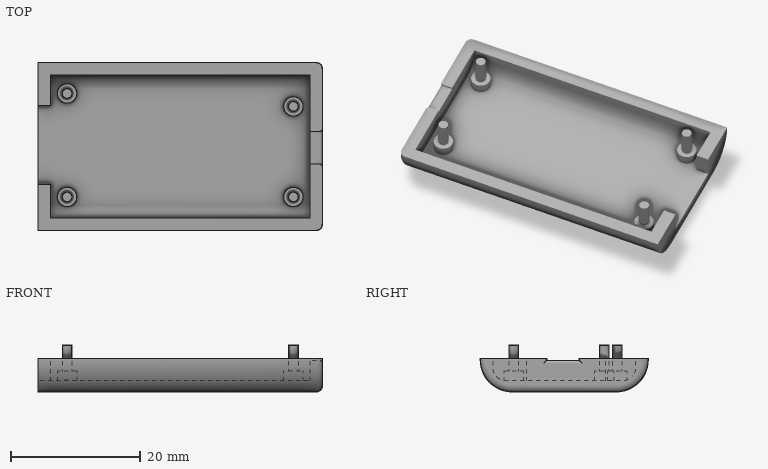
import cadquery as cq

length = 44.0
width = 26.0
height = 5.2
straight_rim = 0.2
side_radius = height - straight_rim
end_radius = 1.0

wall = 1.95
floor = 1.75
cavity_radius = 2.05

pin_diameter = 1.5
pin_top = 7.25
boss_diameter = 3.0
boss_top = 3.25
post_end_inset = 4.5
left_x = post_end_inset
right_x = length - post_end_inset
front_y = -7.8
back_left_y = front_y + 16.0
back_right_y = front_y + 14.0
post_positions = [
    (left_x, front_y),
    (left_x, back_left_y),
    (right_x, front_y),
    (right_x, back_right_y),
]

opening_width = 12.2
opening_center_y = 0.25

notch_width = 5.0
notch_center_y = -0.2
notch_depth = 0.3
notch_edge_radius = 0.5
selection_margin = 0.05


def box(x_min, x_max, center_y, size_y, z_min, z_max):
    """Block given by its x and z limits and by its centre and size in y."""
    return (
        cq.Workplane("XY")
        .box(x_max - x_min, size_y, z_max - z_min, centered=(False, True, False))
        .translate((x_min, center_y, z_min))
    )


def make_blank():
    """Solid outer form, rounded along its sides and around its right end."""
    blank = box(0, length, 0, width, 0, height)
    blank = blank.edges("|X and <Z").fillet(side_radius)
    return blank.faces(">X").edges("not >Z").fillet(end_radius)


def make_cavity():
    """Inner space, with rounded corners where the long walls meet the floor."""
    cavity = box(wall, length - wall, 0, width - 2 * wall, floor, height)
    return cavity.edges("|X and <Z").fillet(cavity_radius)


def make_opening():
    return box(0, wall, opening_center_y, opening_width, floor, height)


def cut_notch(body):
    """Cut the rim notch and round its three edges on the outer end face."""
    notch_floor = height - notch_depth
    body = body.cut(box(length - wall, length, notch_center_y, notch_width, notch_floor, height))
    half_width = notch_width / 2 + selection_margin
    notch_edges = cq.selectors.BoxSelector(
        (length - selection_margin, notch_center_y - half_width, notch_floor - selection_margin),
        (length + selection_margin, notch_center_y + half_width, height - selection_margin),
    )
    return body.edges(notch_edges).fillet(notch_edge_radius)


def make_post(x, y):
    """Wide boss with a thin locating pin on top."""
    base = cq.Workplane("XY", origin=(x, y, floor))
    boss = base.circle(boss_diameter / 2).extrude(boss_top - floor)
    pin = base.circle(pin_diameter / 2).extrude(pin_top - floor)
    return boss.union(pin)


result = make_blank().cut(make_cavity()).cut(make_opening())
result = cut_notch(result)
for post_x, post_y in post_positions:
    result = result.union(make_post(post_x, post_y))